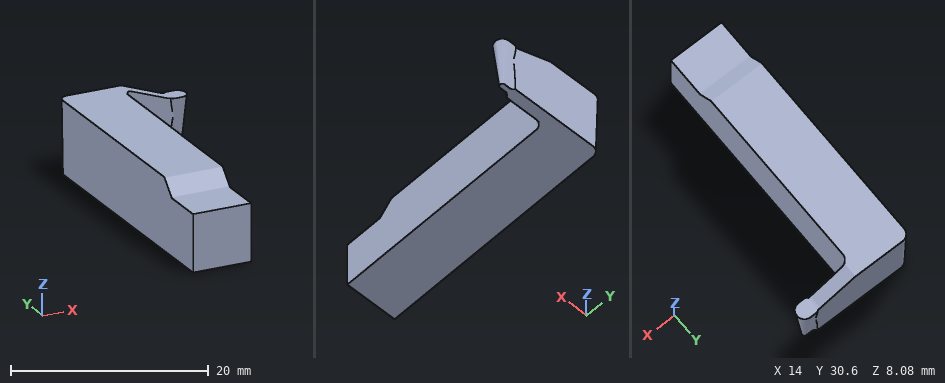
import cadquery as cq
import math

shank_width = 6.6
shank_height = 8.08
shank_back = 30.5
low_height = 6.4
step_length = 4.8
step_angle = 45.0
step_top_radius = 0.3
step_root_radius = 0.5
back_relief = 2.0
back_corner_radius = 1.0

arm_front = 28.8
inner_corner_radius = 1.0
slope_foot = 11.72
slope_angle = 20.0
slope_top_radius = 0.25
slope_foot_radius = 1.0

tip_radius = 1.0
tip_x = 13.0
tip_y = 29.6
tip_relief = 6.0
neck_x = 12.3
neck_radius = 0.6
neck_blend_depth = 3.0

SIDES = (1, -1)


def slant_run(height, angle_from_vertical):
    """Horizontal distance covered by a slanted line over the given height."""
    return height * math.tan(math.radians(angle_from_vertical))


def tip_half_width(z):
    """Half of the tip's width along Y at height z."""
    return tip_radius - slant_run(low_height - z, tip_relief)


def round_edge(solid, direction, point, radius):
    """Fillet the edge parallel to an axis that passes nearest to a point."""
    nearest = cq.selectors.NearestToPointSelector(point)
    return solid.edges("|" + direction).edges(nearest).fillet(radius)


def make_plan():
    """L-shaped outline of shank and arm, with the rounded inner corner."""
    return (
        cq.Workplane("XY")
        .lineTo(shank_width, 0)
        .lineTo(shank_width, arm_front - inner_corner_radius)
        .radiusArc((shank_width + inner_corner_radius, arm_front), inner_corner_radius)
        .lineTo(neck_x, arm_front)
        .lineTo(neck_x, shank_back)
        .lineTo(0, shank_back)
        .close()
        .extrude(shank_height)
    )


def make_shank_side():
    """Side shape: stepped at the free end, relieved at the back."""
    step_top = step_length + slant_run(shank_height - low_height, step_angle)
    middle = neck_x / 2
    side = (
        cq.Workplane("YZ")
        .lineTo(shank_back - slant_run(shank_height, back_relief), 0)
        .lineTo(shank_back, shank_height)
        .lineTo(step_top, shank_height)
        .lineTo(step_length, low_height)
        .lineTo(0, low_height)
        .close()
        .extrude(neck_x)
    )
    side = round_edge(side, "X", (middle, step_top, shank_height), step_top_radius)
    return round_edge(side, "X", (middle, step_length, low_height), step_root_radius)


def make_arm_side():
    """Front shape: full height over the shank, sloping down along the arm."""
    slope_top = slope_foot - (shank_height - low_height) / math.tan(math.radians(slope_angle))
    middle = shank_back / 2
    side = (
        cq.Workplane("XZ")
        .lineTo(neck_x, 0)
        .lineTo(neck_x, low_height)
        .lineTo(slope_foot, low_height)
        .lineTo(slope_top, shank_height)
        .lineTo(0, shank_height)
        .close()
        .extrude(-shank_back)
    )
    side = round_edge(side, "Y", (slope_top, middle, shank_height), slope_top_radius)
    return round_edge(side, "Y", (slope_foot, middle, low_height), slope_foot_radius)


def make_body():
    body = make_plan().intersect(make_shank_side()).intersect(make_arm_side())
    back_corner = (0, shank_back - slant_run(shank_height / 2, back_relief), shank_height / 2)
    corner = cq.selectors.NearestToPointSelector(back_corner)
    return body.edges(corner).fillet(back_corner_radius)


def leaning_cylinder(side, offset, bottom):
    """Neck-radius cylinder following one flat side of the tip at a given offset from it."""
    def center_y(z):
        return tip_y + side * (tip_half_width(z) + offset)

    return (
        cq.Workplane("XY", origin=(neck_x, center_y(bottom), bottom))
        .circle(neck_radius)
        .workplane(offset=low_height - bottom)
        .center(0, center_y(low_height) - center_y(bottom))
        .circle(neck_radius)
        .loft(ruled=True)
    )


def make_nose():
    """Round front of the tip as a cone, joined to its flat tapering sides."""
    top_half = tip_half_width(low_height)
    bottom_half = tip_half_width(0)
    wedge = (
        cq.Workplane("YZ", origin=(neck_x, tip_y, 0))
        .moveTo(-bottom_half, 0)
        .lineTo(bottom_half, 0)
        .lineTo(top_half, low_height)
        .lineTo(-top_half, low_height)
        .close()
        .extrude(tip_x - neck_x)
    )
    cone = cq.Solid.makeCone(bottom_half, top_half, low_height, pnt=cq.Vector(tip_x, tip_y, 0))
    return wedge.union(cq.Workplane(cone))


def blend_neck(body):
    """Hollow the arm's end down to the tip, then add the rounded shoulders above it."""
    for side in SIDES:
        body = body.cut(leaning_cylinder(side, neck_radius, 0))
    shoulder_bottom = low_height - neck_blend_depth
    for side in SIDES:
        body = body.union(leaning_cylinder(side, -neck_radius, shoulder_bottom))
    return body


result = blend_neck(make_body()).union(make_nose()).solids()